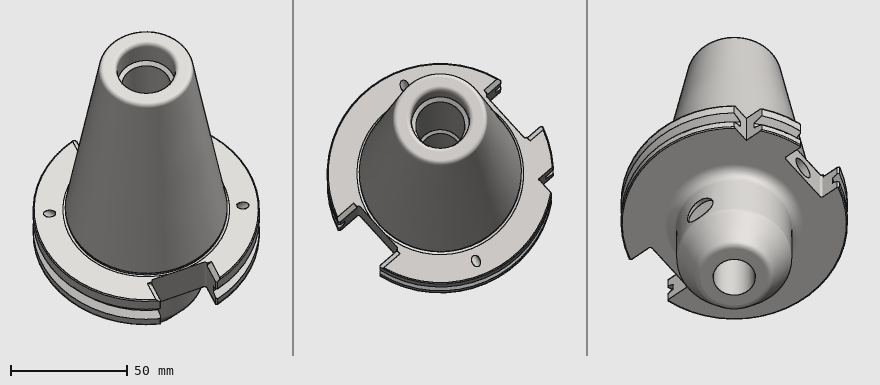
import cadquery as cq
import math

total_height = 164.6

land_bottom = 62.9
land_height = 0.5
land_radius = 34.9
taper_slope = 7 / 48
taper_top_fillet = 2.0
neck_radius = 34.5
neck_chamfer_height = 0.3

relief_radius = 35.9
relief_depth = 0.5

flange_radius = 48.7
flange_bottom = 44.0
flange_top = 61.9
flange_chamfer = 0.5
groove_root_radius = 45.5
groove_z = 52.0
groove_root_width = 3.5
groove_angle = 30.0

nose_radius = 49.5 / 2
nose_fillet = 5.0
nose_cone_start = 15.0
nose_cone_angle = 30.0
nose_shoulder_fillet = 3.0
nose_tip_fillet = 3.0

shank_bore_radius = 9.0
stud_thread_radius = 10.5
stud_thread_end = 98.8
stud_seat_radius = 12.5
stud_seat_depth = 11.5
seat_cone_height = 1.2
thread_cone_height = 0.8
bore_mouth_fillet = 2.0

slot_half_width = 12.8
slot_floors = {-1: 37.5, 1: 35.5}
slot_corner_fillet = 1.0
slot_edge_flare = 2.1
slot_edge_depth = 1.6
slot_mouth_chamfer = 0.7

notch_x = -30.0
notch_y = 30.0

pocket_radius = 5.0
pocket_depth = 4.6
mark_radius = 1.6
mark_cone_height = 1.0

coolant_radius = 1.8
coolant_pitch_radius = 41.6
coolant_direction = 70.0
coolant_tilt = 46.0

screw_z = 23.9
screw_radius = 6.9
screw_tip_y = 6.9
screw_tip_radius = 5.3
screw_tip_length = 1.6
screw_length = 16.0



def revolve(points):
    """Solid of revolution about Z from (radius, z) points."""
    return cq.Workplane("XZ").polyline(points).close().revolve(360, (0, 0, 0), (0, 1, 0))


def fillet_rim(body, radius, z, fillet):
    """Round the circular edge of the given radius at height z."""
    tolerance = 0.02
    rim = body.edges("%CIRCLE").filter(
        lambda edge: abs(edge.radius() - radius) < tolerance and abs(edge.Center().z - z) < tolerance
    )
    return rim.fillet(fillet)


def outer_body():
    """Nose, flange and taper in one turned outline, with rounded rims."""
    cone_slope = math.tan(math.radians(nose_cone_angle))
    tip_radius = nose_radius - nose_cone_start * cone_slope
    taper_bottom = land_bottom + land_height
    taper_top_radius = land_radius - (total_height - taper_bottom) * taper_slope
    flange_edge_radius = flange_radius - flange_chamfer
    body = revolve(
        [
            (0, 0),
            (tip_radius, 0),
            (nose_radius, nose_cone_start),
            (nose_radius, flange_bottom),
            (flange_edge_radius, flange_bottom),
            (flange_radius, flange_bottom + flange_chamfer),
            (flange_radius, flange_top - flange_chamfer),
            (flange_edge_radius, flange_top),
            (relief_radius, flange_top),
            (neck_radius, flange_top - relief_depth),
            (neck_radius, land_bottom - neck_chamfer_height),
            (land_radius, land_bottom),
            (land_radius, taper_bottom),
            (taper_top_radius, total_height),
            (0, total_height),
        ]
    )
    body = fillet_rim(body, tip_radius, 0, nose_tip_fillet)
    body = fillet_rim(body, nose_radius, nose_cone_start, nose_shoulder_fillet)
    body = fillet_rim(body, nose_radius, flange_bottom, nose_fillet)
    return fillet_rim(body, taper_top_radius, total_height, taper_top_fillet)


def gripper_groove():
    """Trapezoid ring cut around the flange."""
    depth = flange_radius - groove_root_radius
    root_half = groove_root_width / 2
    mouth_half = root_half + depth * math.tan(math.radians(groove_angle))
    return revolve(
        [
            (groove_root_radius, groove_z - root_half),
            (groove_root_radius, groove_z + root_half),
            (flange_radius, groove_z + mouth_half),
            (flange_radius, groove_z - mouth_half),
        ]
    )


def central_bore():
    """Stepped bore: shank bore, pull stud thread and pull stud seat joined by short cones."""
    seat_z = total_height - stud_seat_depth
    return revolve(
        [
            (0, 0),
            (shank_bore_radius, 0),
            (shank_bore_radius, stud_thread_end),
            (stud_thread_radius, stud_thread_end + thread_cone_height),
            (stud_thread_radius, seat_z - seat_cone_height),
            (stud_seat_radius, seat_z),
            (stud_seat_radius, total_height),
            (0, total_height),
        ]
    )


def driving_slot(side):
    """Slot open to the side (-1 or 1) along X, with flared top edges and mouth."""
    floor = slot_floors[side]
    flange_height = flange_top - flange_bottom
    flare_half_width = slot_half_width + slot_edge_flare
    slot = (
        cq.Workplane("XY", origin=(0, 0, flange_bottom))
        .center((floor + flange_radius) / 2, 0)
        .rect(flange_radius - floor, 2 * slot_half_width)
        .extrude(flange_height)
        .edges("|Z and <X")
        .fillet(slot_corner_fillet)
    )
    flare = (
        cq.Workplane("YZ", origin=(floor + slot_corner_fillet, 0, 0))
        .polyline(
            [
                (-slot_half_width, flange_top - slot_edge_depth),
                (slot_half_width, flange_top - slot_edge_depth),
                (flare_half_width, flange_top),
                (-flare_half_width, flange_top),
            ]
        )
        .close()
        .extrude(flange_radius - floor - slot_corner_fillet)
    )
    rim_x = math.sqrt(flange_radius**2 - (slot_half_width + slot_mouth_chamfer) ** 2)
    mouth_x = rim_x - slot_mouth_chamfer
    mouth_half_width = slot_half_width + flange_radius - mouth_x
    mouth = (
        cq.Workplane("XY", origin=(0, 0, flange_bottom))
        .polyline(
            [
                (mouth_x, -slot_half_width),
                (flange_radius, -mouth_half_width),
                (flange_radius, mouth_half_width),
                (mouth_x, slot_half_width),
            ]
        )
        .close()
        .extrude(flange_height)
    )
    slot = slot.union(flare).union(mouth)
    return slot if side > 0 else slot.mirror("YZ")


def corner_notch():
    """Square corner cut through the flange at -X, +Y."""
    return cq.Workplane("XY").box(
        flange_radius, flange_radius, flange_top - flange_bottom, centered=False
    ).translate((notch_x - flange_radius, notch_y, flange_bottom))


def data_carrier_pocket():
    """Flat pocket in the -X slot floor with a conical centre mark."""
    pocket_floor = -slot_floors[-1] + pocket_depth
    axis = cq.Vector(1, 0, 0)
    pocket = cq.Solid.makeCylinder(
        pocket_radius, pocket_depth, cq.Vector(-slot_floors[-1], 0, groove_z), axis
    )
    mark = cq.Solid.makeCone(
        mark_radius, 0, mark_cone_height, cq.Vector(pocket_floor, 0, groove_z), axis
    )
    return cq.Workplane(pocket).union(cq.Workplane(mark))


def coolant_hole(direction):
    """Hole slanting down and inward from the flange top to the bore axis."""
    angle = math.radians(direction)
    tilt = math.radians(coolant_tilt)
    inward = cq.Vector(
        -math.cos(angle) * math.sin(tilt), -math.sin(angle) * math.sin(tilt), -math.cos(tilt)
    )
    entry = cq.Vector(
        coolant_pitch_radius * math.cos(angle), coolant_pitch_radius * math.sin(angle), flange_top
    )
    overrun = 2 * coolant_radius
    length = coolant_pitch_radius / math.sin(tilt)
    hole = cq.Solid.makeCylinder(
        coolant_radius, length + overrun, entry - inward * overrun, inward
    )
    return cq.Workplane(hole)


def screw_hole():
    """Radial hole from the bore axis out through the +Y side of the nose."""
    return cq.Workplane(
        cq.Solid.makeCylinder(
            screw_radius, nose_radius, cq.Vector(0, 0, screw_z), cq.Vector(0, 1, 0)
        )
    )


def make_holder():
    holder = outer_body().cut(gripper_groove()).cut(central_bore())
    holder = fillet_rim(holder, stud_seat_radius, total_height, bore_mouth_fillet)
    for side in slot_floors:
        holder = holder.cut(driving_slot(side))
    holder = holder.cut(corner_notch()).cut(data_carrier_pocket())
    for direction in (coolant_direction, coolant_direction + 180):
        holder = holder.cut(coolant_hole(direction))
    return holder.cut(screw_hole())


def make_clamping_screw():
    """Set screw along Y with a conical tip reaching into the bore."""
    screw_end_y = screw_tip_y + screw_length
    return (
        cq.Workplane("XY")
        .polyline(
            [
                (0, screw_tip_y),
                (screw_tip_radius, screw_tip_y),
                (screw_radius, screw_tip_y + screw_tip_length),
                (screw_radius, screw_end_y),
                (0, screw_end_y),
            ]
        )
        .close()
        .revolve(360, (0, 0, 0), (0, 1, 0))
        .translate((0, 0, screw_z))
    )


holder = make_holder()
clamping_screw = make_clamping_screw()

result = cq.Compound.makeCompound([holder.val(), clamping_screw.val()])